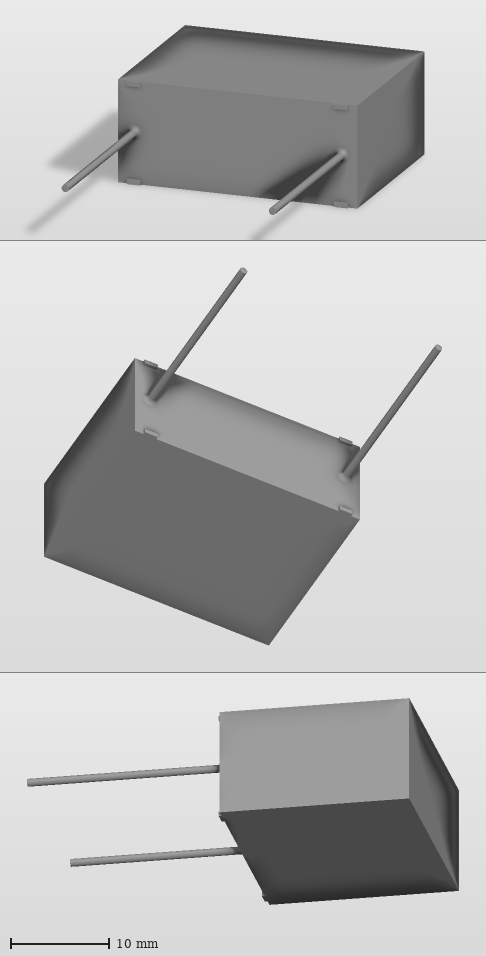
import cadquery as cq
import math

body_width = 26.0
body_height = 11.0
total_length = 40.0

seating_depth = 20.0
foot_standoff = 0.3
foot_width = 1.5
foot_thickness = 0.5
body_depth = seating_depth - foot_standoff

lead_pitch = 22.5
lead_diameter = 0.8
collar_diameter = 1.8
lead_radius = lead_diameter / 2
collar_radius = collar_diameter / 2
flare_radius = collar_radius - lead_radius
lead_length = total_length - body_depth



def make_body():
    body = cq.Workplane("XY").box(body_width, body_depth, body_height)
    return body.translate((0, body_depth / 2, 0))


def make_foot(x, side):
    """Small block flush with the top (side = 1) or bottom (side = -1) of the body."""
    z = side * (body_height - foot_thickness) / 2
    foot = cq.Workplane("XY").box(foot_width, foot_standoff, foot_thickness)
    return foot.translate((x, -foot_standoff / 2, z))


def make_lead(x):
    """Round wire with a concave flared collar, revolved about the lead axis."""
    flare_middle = flare_radius * (1 - math.sqrt(0.5))
    profile = (
        cq.Workplane("XY")
        .lineTo(collar_radius, 0)
        .threePointArc((lead_radius + flare_middle, -flare_middle), (lead_radius, -flare_radius))
        .lineTo(lead_radius, -lead_length)
        .lineTo(0, -lead_length)
        .close()
    )
    return profile.revolve(360, (0, 0, 0), (0, 1, 0)).translate((x, 0, 0))


result = make_body()
for lead_x in (-lead_pitch / 2, lead_pitch / 2):
    result = result.union(make_lead(lead_x))
    for side in (-1, 1):
        result = result.union(make_foot(lead_x, side))